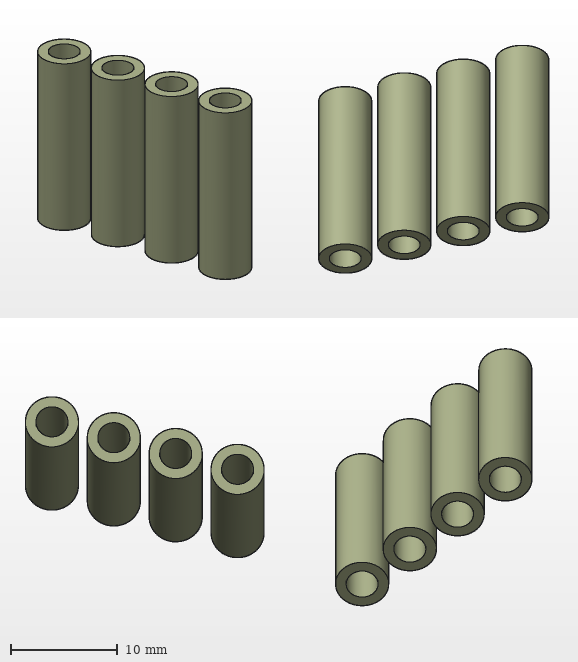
import cadquery as cq

row_length = 23.0
tube_count = 4
tube_height = 17.65
outer_diameter = 5.0
bore_diameter = 3.0

tube_pitch = (row_length - outer_diameter) / (tube_count - 1)


def make_tube(center_x):
    """Plain upright tube, bored right through, standing on Z = 0."""
    return (
        cq.Workplane("XY")
        .center(center_x, 0)
        .circle(outer_diameter / 2)
        .circle(bore_diameter / 2)
        .extrude(tube_height)
    )


first_tube_x = -tube_pitch * (tube_count - 1) / 2
tubes = []
for index in range(tube_count):
    tube = make_tube(first_tube_x + index * tube_pitch)
    tubes.append(tube.val())

result = cq.Compound.makeCompound(tubes)